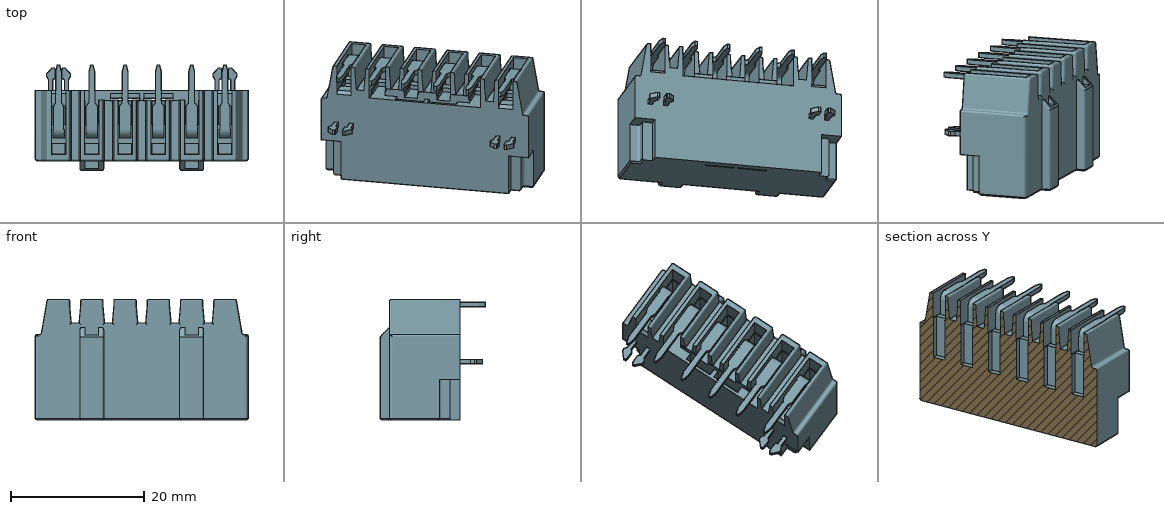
import cadquery as cq

LENGTH = 32.0
HEIGHT = 18.1
BACK_Y = 10.6
SHOULDER_Z = 12.8
CORNER_RADIUS = 0.48
EDGE_RADIUS = 0.3
BASE_CHAMFER = 0.25

EMBED = 0.32

CONTACTS = 6
PITCH = 5.0
TOWER_TOP_HALF = 1.7
TOWER_FOOT_HALF = 1.92
TOWER_STRAIGHT_Z = 17.1
GAP_Z = 14.55
END_FOOT_HALF = 2.62
centers = [(i - (CONTACTS - 1) / 2) * PITCH for i in range(CONTACTS)]
end_centers = [centers[0], centers[-1]]

POCKET_HALF = 1.1
POCKET_FRONT_Y = 0.95
WELL_BACK_Y = 2.62
FLOOR_BACK_Y = 5.5
SHELF_Y = 8.25
POCKET_Z = 14.08
WELL_Z = 7.68
POCKET_LEDGE = 0.1
STEP_Z = 13.45
RAMP = 0.48

RECESS_HALF = centers[-2] + POCKET_HALF
RECESS_Y = 9.05
TOWER_BACK_Y = 9.15
PLATE_Z = STEP_Z
WINDOW_HALF = 2.18
WINDOW_BACK_Y = 10.1
SLOT_BACK_Y = 9.38
WINDOW_Z = 10.88

NOTCH_Z = 6.05
NOTCH_Y = 7.52
NOTCH_DEPTH = BACK_Y - RECESS_Y
NOTCH_RADIUS = 0.4

RIB_HALF = 1.8
RIB_PROJECTION = 1.4
RIB_TOP_Z = 13.9
RIB_EDGE_RADIUS = 0.3
RIB_POCKET_HALF = 1.0
RIB_LIP = 0.25

PIN_TIP_Y = 14.4
PIN_TOP_Z = 17.7
PIN_THICKNESS = 0.7
PIN_LEG_Y = 3.45
PIN_BEND_RADIUS = 1.25
PIN_HALF = 0.45
PIN_TIP_HALF = 0.2
PIN_TAPER_Y = 13.4
PIN_NECK_Y = 8.77
PIN_SHANK_Y = 8.2
PIN_LEG_HALF = 0.85
END_SHANK_HALF = 0.77

CLIP_Z = 8.4
CLIP_THICKNESS = 0.7
CLIP_TIP_Y = 14.0
CLIP_INNER_TIP_Y = 13.73
CLIP_BARB_TOP_Y = 13.05
CLIP_BARB_BASE_Y = 12.75
CLIP_INNER_BASE_Y = 12.4
CLIP_NECK_Y = 12.15
CLIP_ARM_INNER = 0.85
CLIP_ARM_OUTER = 1.5
CLIP_HEAD_INNER = 0.5
CLIP_HEAD_OUTER = 1.82
CLIP_TIP_INNER = 0.65
CLIP_TIP_OUTER = 0.95


def box(x0, x1, y0, y1, z0, z1):
    """Block between two opposite corners."""
    return cq.Workplane("XY").box(x1 - x0, y1 - y0, z1 - z0, centered=False).translate((x0, y0, z0))


def edges_between(corner, opposite):
    """Selector for edges whose centers lie between two opposite corners."""
    return cq.selectors.BoxSelector(corner, opposite)


def make_housing():
    """Stepped outline extruded from front to back, with rounded outer edges."""
    half = LENGTH / 2
    outline = [(-half, 0), (-half, SHOULDER_Z), (centers[0] - END_FOOT_HALF, SHOULDER_Z)]
    for i, x in enumerate(centers):
        if i > 0:
            outline += [(x - TOWER_FOOT_HALF, GAP_Z), (x - TOWER_TOP_HALF, TOWER_STRAIGHT_Z)]
        outline += [(x - TOWER_TOP_HALF, HEIGHT), (x + TOWER_TOP_HALF, HEIGHT)]
        if i < CONTACTS - 1:
            outline += [(x + TOWER_TOP_HALF, TOWER_STRAIGHT_Z), (x + TOWER_FOOT_HALF, GAP_Z)]
    outline += [(centers[-1] + END_FOOT_HALF, SHOULDER_Z), (half, SHOULDER_Z), (half, 0)]
    body = cq.Workplane("XZ").polyline(outline).close().extrude(-BACK_Y)

    shoulder_edges = edges_between((-LENGTH, 0, SHOULDER_Z - EDGE_RADIUS),
                                   (LENGTH, BACK_Y, SHOULDER_Z + EDGE_RADIUS))
    body = body.edges(shoulder_edges).edges("|Y").fillet(EDGE_RADIUS)
    body = body.faces(">Z").edges("|Y").fillet(EDGE_RADIUS)
    upper_rim = edges_between((-LENGTH, -EMBED, SHOULDER_Z - 2 * EDGE_RADIUS),
                              (LENGTH, EMBED, HEIGHT + EMBED))
    body = body.faces("<Y").edges(upper_rim).fillet(EDGE_RADIUS)

    envelope = box(-half, half, 0, BACK_Y, 0, HEIGHT)
    envelope = envelope.edges("<Y and |Z").fillet(CORNER_RADIUS)
    notch = notch_cut()
    envelope = envelope.cut(notch).cut(notch.mirror("YZ"))
    bevelled_part = edges_between((-LENGTH, -EMBED, -EMBED), (LENGTH, RECESS_Y - EMBED, EMBED))
    envelope = envelope.faces("<Z").edges(bevelled_part).chamfer(BASE_CHAMFER)
    return body.intersect(envelope)


def make_rib(x):
    """Front key rib with a 45 degree top and a pocket sunk into the slope."""
    profile = [(EMBED, 0), (-RIB_PROJECTION, 0), (-RIB_PROJECTION, RIB_TOP_Z - RIB_PROJECTION),
               (0, RIB_TOP_Z), (EMBED, RIB_TOP_Z)]
    rib = cq.Workplane("YZ").polyline(profile).close().extrude(RIB_HALF, both=True)
    long_edges = edges_between((-LENGTH, -RIB_PROJECTION - EMBED, EMBED), (LENGTH, -EMBED, HEIGHT))
    rib = rib.edges(long_edges).edges("not |X").fillet(RIB_EDGE_RADIUS)
    rib = rib.faces("<Z").edges("<Y").chamfer(BASE_CHAMFER)
    floor_z = RIB_TOP_Z - RIB_PROJECTION + RIB_LIP
    pocket = box(-RIB_POCKET_HALF, RIB_POCKET_HALF, RIB_LIP - RIB_PROJECTION, 0, floor_z, HEIGHT)
    return rib.cut(pocket).translate((x, 0, 0))


def pocket_cut(x, is_end):
    """Stepped contact pocket, open at the top and the back."""
    x0, x1 = x - POCKET_HALF, x + POCKET_HALF
    cut = box(x0, x1, POCKET_FRONT_Y, BACK_Y, POCKET_Z, HEIGHT)
    x0, x1 = x0 + POCKET_LEDGE, x1 - POCKET_LEDGE
    cut = cut.union(box(x0, x1, POCKET_FRONT_Y + POCKET_LEDGE, WELL_BACK_Y, WELL_Z, HEIGHT))
    step_back = SHELF_Y if is_end else BACK_Y
    cut = cut.union(box(x0, x1, FLOOR_BACK_Y, step_back, STEP_Z, HEIGHT))
    if is_end:
        ramp = [(BACK_Y - RAMP, POCKET_Z), (BACK_Y, POCKET_Z - RAMP), (BACK_Y, POCKET_Z)]
        wedge = cq.Workplane("YZ").polyline(ramp).close().extrude(POCKET_HALF, both=True)
        cut = cut.union(wedge.translate((x, 0, 0)))
    return cut


def recess_cut():
    """Clearance above the back plate, behind the inner towers."""
    lower = box(-RECESS_HALF, RECESS_HALF, RECESS_Y, BACK_Y, PLATE_Z, GAP_Z)
    upper = box(-RECESS_HALF, RECESS_HALF, TOWER_BACK_Y, BACK_Y, GAP_Z, HEIGHT)
    return lower.union(upper)


def window_cut(x):
    """Window in the back plate with a narrower slot down through the base."""
    x0, x1 = x - WINDOW_HALF, x + WINDOW_HALF
    window = box(x0, x1, RECESS_Y, WINDOW_BACK_Y, WINDOW_Z, PLATE_Z)
    return window.union(box(x0, x1, RECESS_Y, SLOT_BACK_Y, 0, PLATE_Z))


def notch_cut():
    """Two-step notch in the lower back corner of the -X end."""
    edge = -LENGTH / 2
    outer = box(edge - NOTCH_DEPTH, edge + NOTCH_DEPTH, NOTCH_Y, BACK_Y, 0, NOTCH_Z)
    outer = outer.edges("|Z and <Y and >X").fillet(NOTCH_RADIUS)
    return outer.union(box(edge, edge + 2 * NOTCH_DEPTH, RECESS_Y, BACK_Y, 0, NOTCH_Z))


def make_pin(x, shank_half):
    """Bent flat pin: pointed tail along Y, leg standing on the pocket floor."""
    bottom_z = PIN_TOP_Z - PIN_THICKNESS
    inner_radius = PIN_BEND_RADIUS - PIN_THICKNESS
    bend_y = PIN_LEG_Y + PIN_BEND_RADIUS
    bend_z = PIN_TOP_Z - PIN_BEND_RADIUS
    diagonal = 0.5 ** 0.5
    leg = (
        cq.Workplane("YZ")
        .moveTo(PIN_LEG_Y, POCKET_Z - EMBED)
        .lineTo(PIN_LEG_Y, bend_z)
        .threePointArc((bend_y - PIN_BEND_RADIUS * diagonal, bend_z + PIN_BEND_RADIUS * diagonal),
                       (bend_y, PIN_TOP_Z))
        .lineTo(bend_y, bottom_z)
        .threePointArc((bend_y - inner_radius * diagonal, bend_z + inner_radius * diagonal),
                       (PIN_LEG_Y + PIN_THICKNESS, bend_z))
        .lineTo(PIN_LEG_Y + PIN_THICKNESS, POCKET_Z - EMBED)
        .close()
        .extrude(PIN_LEG_HALF, both=True)
    )
    right_side = [(shank_half, bend_y), (shank_half, PIN_SHANK_Y), (PIN_HALF, PIN_NECK_Y),
                  (PIN_HALF, PIN_TAPER_Y), (PIN_TIP_HALF, PIN_TIP_Y)]
    left_side = [(-px, py) for px, py in reversed(right_side)]
    tail = cq.Workplane("XY").polyline(right_side + left_side).close().extrude(PIN_THICKNESS)
    return leg.union(tail.translate((0, 0, bottom_z))).translate((x, 0, 0))


def make_clip(x):
    """Pair of mirrored spring arms with arrow-shaped heads."""
    root_y = BACK_Y - EMBED
    inner_side = [(CLIP_TIP_INNER, CLIP_TIP_Y), (CLIP_HEAD_INNER, CLIP_INNER_TIP_Y),
                  (CLIP_HEAD_INNER, CLIP_INNER_BASE_Y), (CLIP_ARM_INNER, CLIP_NECK_Y),
                  (CLIP_ARM_INNER, root_y)]
    outer_side = [(CLIP_ARM_OUTER, root_y), (CLIP_ARM_OUTER, CLIP_NECK_Y),
                  (CLIP_HEAD_OUTER, CLIP_BARB_BASE_Y), (CLIP_HEAD_OUTER, CLIP_BARB_TOP_Y),
                  (CLIP_TIP_OUTER, CLIP_TIP_Y)]
    arm = cq.Workplane("XY").polyline(inner_side + outer_side).close().extrude(CLIP_THICKNESS)
    pair = arm.union(arm.mirror("YZ"))
    return pair.translate((x, 0, CLIP_Z))


result = make_housing()
for x in (centers[1], centers[-2]):
    result = result.union(make_rib(x))
for x in centers:
    result = result.cut(pocket_cut(x, x in end_centers))
result = result.cut(recess_cut())
for x in centers[2:-2]:
    result = result.cut(window_cut(x))
for x in centers:
    result = result.union(make_pin(x, END_SHANK_HALF if x in end_centers else PIN_LEG_HALF))
for x in end_centers:
    result = result.union(make_clip(x))